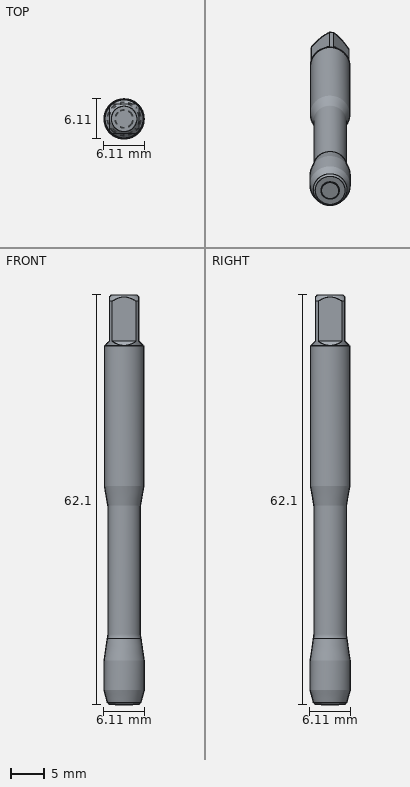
import cadquery as cq
import math


total_length = 62.1

thread_radius = 6.11 / 2
tip_height = 0.1
tip_end_radius = 1.3
nose_edge_radius = 2.56
nose_chamfer = 0.3
lead_in_top = 2.2
thread_top = 6.7
head_top = 10.08

neck_radius = 4.96 / 2
shank_radius = 6.0 / 2
neck_flare_radius = 1.7
neck_flare_height = 0.54
neck_top = 30.15
shank_bottom = 33.12
neck_fillet_radius = 1.0

flat_count = 4
square_width = 4.5
square_corner_radius = 5.76 / 2
square_length = 7.02
drive_top_radius = 1.93
drive_chamfer = square_corner_radius - drive_top_radius

nose_face_height = tip_height
nose_face_radius = nose_edge_radius - nose_chamfer
nose_edge_height = nose_face_height + nose_chamfer

square_bottom = total_length - square_length
shoulder_drop = shank_radius - square_width / 2
shank_top = square_bottom - shoulder_drop
corner_start = shank_top + shank_radius - square_corner_radius

flare_angle = math.asin(neck_flare_height / neck_flare_radius)
neck_foot_radius = neck_radius + neck_flare_radius * (1 - math.cos(flare_angle))


def make_threaded_head():
    """Tip, nose, lead-in taper, thread cylinder and run-out taper as one revolved solid."""
    return (
        cq.Workplane("XZ")
        .moveTo(0, 0)
        .lineTo(tip_end_radius, 0)
        .lineTo(tip_end_radius + tip_height, tip_height)
        .lineTo(nose_face_radius, nose_face_height)
        .lineTo(nose_edge_radius, nose_edge_height)
        .lineTo(thread_radius, lead_in_top)
        .lineTo(thread_radius, thread_top)
        .lineTo(neck_foot_radius, head_top)
        .lineTo(0, head_top)
        .close()
        .revolve(360, (0, 0, 0), (0, 1, 0))
    )


def make_turned_shank():
    """Neck, taper, shank, shoulder and round drive blank as one revolved solid."""
    flare_top = head_top + neck_flare_height
    half_angle = flare_angle / 2
    flare_mid = (
        neck_radius + neck_flare_radius * (1 - math.cos(half_angle)),
        flare_top - neck_flare_radius * math.sin(half_angle),
    )

    rise = shank_bottom - neck_top
    run = shank_radius - neck_radius
    taper_angle = math.atan2(run, rise)
    setback = neck_fillet_radius * math.tan(taper_angle / 2)
    fillet_end = (
        neck_radius + setback * math.sin(taper_angle),
        neck_top + setback * math.cos(taper_angle),
    )

    return (
        cq.Workplane("XZ")
        .moveTo(0, head_top)
        .lineTo(neck_foot_radius, head_top)
        .threePointArc(flare_mid, (neck_radius, flare_top))
        .lineTo(neck_radius, neck_top - setback)
        .tangentArcPoint(fillet_end, relative=False)
        .lineTo(shank_radius, shank_bottom)
        .lineTo(shank_radius, shank_top)
        .lineTo(square_corner_radius, corner_start)
        .lineTo(square_corner_radius, total_length - drive_chamfer)
        .lineTo(drive_top_radius, total_length)
        .lineTo(0, total_length)
        .close()
        .revolve(360, (0, 0, 0), (0, 1, 0))
    )


def make_flat_cutter():
    """Prism that mills the flat on the +Y side and ends in a 45 degree sloped shoulder."""
    cutter_length = 2 * shank_radius
    flat_offset = square_width / 2
    clear_offset = 2 * shank_radius
    return (
        cq.Workplane("YZ")
        .moveTo(flat_offset, total_length)
        .lineTo(flat_offset, square_bottom)
        .lineTo(clear_offset, square_bottom - (clear_offset - flat_offset))
        .lineTo(clear_offset, total_length)
        .close()
        .extrude(cutter_length / 2, both=True)
    )


def make_shank():
    """Turned shank with the four flats of the square drive milled at its top."""
    body = make_turned_shank()
    flat_cutter = make_flat_cutter()
    for index in range(flat_count):
        angle = index * 360 / flat_count
        body = body.cut(flat_cutter.rotate((0, 0, 0), (0, 0, 1), angle))
    return body


threaded_head = make_threaded_head()
shank = make_shank()

result = cq.Compound.makeCompound([threaded_head.val(), shank.val()])